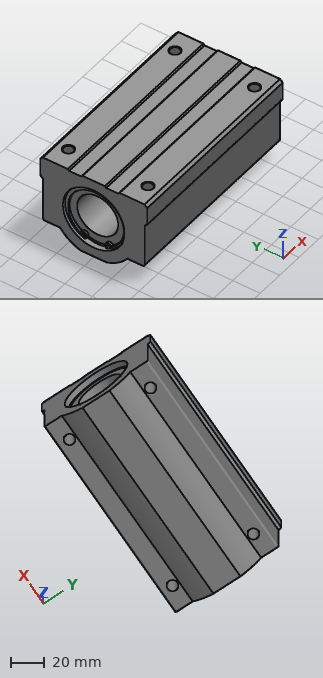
import cadquery as cq
import math


LENGTH = 140.0
WIDTH = 78.0
TOP_Z = 30.0
BOTTOM_Z = -29.5
SHOULDER_Z = -19.0
EDGE_CHAMFER = 2.0
RAIL_DEPTH = 15.0
FOOT_RADIUS = 1.4
BELLY_RADIUS = 31.1

GROOVE_INNER_Y = 8.1
GROOVE_OUTER_Y = 18.9
GROOVE_DEPTH = 1.0
GROOVE_BEVEL = 1.0

HOLE_DIAMETER = 7.0
HOLE_MOUTH_DIAMETER = 8.0
HOLE_SPACING_X = 110.0
HOLE_SPACING_Y = 58.0

BEARING_DIAMETER = 41.7
BEARING_BORE = 30.0
COUNTERBORE_DIAMETER = 45.0

RING_RECESS = 2.2
RING_THICKNESS = 1.8
RING_INNER_DIAMETER = 40.6
RING_EYE_OFFSET = 1.3
LUG_Y = 9.1
LUG_Z = -18.8
LUG_RADIUS = 2.5
LUG_HOLE_DIAMETER = 2.5

END_X = -LENGTH / 2
RING_X = END_X + RING_RECESS
COUNTERBORE_DEPTH = RING_RECESS + RING_THICKNESS
BEARING_X = END_X + COUNTERBORE_DEPTH
BEARING_LENGTH = -2 * BEARING_X


def cylinder_x(diameter, start_x, length, y=0.0, z=0.0):
    """Solid cylinder along +X."""
    return cq.Workplane("YZ", origin=(start_x, y, z)).circle(diameter / 2).extrude(length)


def housing_profile():
    """Cross-section in Y and Z: railed block with a round belly."""
    rail_y = WIDTH / 2
    wall_y = rail_y - EDGE_CHAMFER
    rail_z = TOP_Z - RAIL_DEPTH
    belly_start_y = math.sqrt(BELLY_RADIUS**2 - SHOULDER_Z**2)
    belly_end_y = math.sqrt(BELLY_RADIUS**2 - BOTTOM_Z**2)
    belly_mid_angle = (math.atan2(SHOULDER_Z, belly_start_y) + math.atan2(BOTTOM_Z, belly_end_y)) / 2
    belly_mid_y = BELLY_RADIUS * math.cos(belly_mid_angle)
    belly_mid_z = BELLY_RADIUS * math.sin(belly_mid_angle)
    return (
        cq.Workplane("YZ", origin=(END_X, 0, 0))
        .moveTo(-wall_y, TOP_Z)
        .lineTo(wall_y, TOP_Z)
        .lineTo(rail_y, TOP_Z - EDGE_CHAMFER)
        .lineTo(rail_y, rail_z)
        .lineTo(wall_y, rail_z - EDGE_CHAMFER)
        .lineTo(wall_y, SHOULDER_Z + FOOT_RADIUS)
        .radiusArc((wall_y - FOOT_RADIUS, SHOULDER_Z), FOOT_RADIUS)
        .lineTo(belly_start_y, SHOULDER_Z)
        .threePointArc((belly_mid_y, belly_mid_z), (belly_end_y, BOTTOM_Z))
        .lineTo(-belly_end_y, BOTTOM_Z)
        .threePointArc((-belly_mid_y, belly_mid_z), (-belly_start_y, SHOULDER_Z))
        .lineTo(-wall_y + FOOT_RADIUS, SHOULDER_Z)
        .radiusArc((-wall_y, SHOULDER_Z + FOOT_RADIUS), FOOT_RADIUS)
        .lineTo(-wall_y, rail_z - EDGE_CHAMFER)
        .lineTo(-rail_y, rail_z)
        .lineTo(-rail_y, TOP_Z - EDGE_CHAMFER)
        .close()
    )


def top_groove(side):
    """Bevel-sided groove along the mounting face, on the +Y (1) or -Y (-1) side."""
    floor_z = TOP_Z - GROOVE_DEPTH
    return (
        cq.Workplane("YZ", origin=(END_X, 0, 0))
        .polyline([
            (side * GROOVE_INNER_Y, TOP_Z),
            (side * (GROOVE_INNER_Y + GROOVE_BEVEL), floor_z),
            (side * (GROOVE_OUTER_Y - GROOVE_BEVEL), floor_z),
            (side * GROOVE_OUTER_Y, TOP_Z),
        ])
        .close()
        .extrude(LENGTH)
    )


def mounting_holes():
    """Four vertical through holes with countersunk mouths."""
    mouth_depth = (HOLE_MOUTH_DIAMETER - HOLE_DIAMETER) / 2
    top = cq.Workplane("XY", origin=(0, 0, TOP_Z)).rarray(HOLE_SPACING_X, HOLE_SPACING_Y, 2, 2)
    shafts = top.circle(HOLE_DIAMETER / 2).extrude(BOTTOM_Z - TOP_Z)
    mouths = top.circle(HOLE_MOUTH_DIAMETER / 2).extrude(-mouth_depth, taper=45)
    return shafts.union(mouths)


def make_housing():
    """Grooved block with mounting holes and a bearing bore counterbored at both ends."""
    body = housing_profile().extrude(LENGTH)
    for side in (1, -1):
        body = body.cut(top_groove(side))
    body = body.cut(mounting_holes())
    body = body.cut(cylinder_x(BEARING_DIAMETER, BEARING_X, BEARING_LENGTH))
    for start_x in (END_X, -BEARING_X):
        body = body.cut(cylinder_x(COUNTERBORE_DIAMETER, start_x, COUNTERBORE_DEPTH))
    return body


def make_bearing():
    """Plain sleeve between the two counterbores."""
    sleeve = cylinder_x(BEARING_DIAMETER, BEARING_X, BEARING_LENGTH)
    return sleeve.cut(cylinder_x(BEARING_BORE, BEARING_X, BEARING_LENGTH))


def make_retaining_ring():
    """Open ring that fits the counterbore, with an eccentric inner edge and drilled end lugs."""
    disc = cylinder_x(COUNTERBORE_DIAMETER, RING_X, RING_THICKNESS)
    ring = disc.cut(cylinder_x(RING_INNER_DIAMETER, RING_X, RING_THICKNESS, z=-RING_EYE_OFFSET))
    gap_reach = 2.0
    gap = (
        cq.Workplane("YZ", origin=(RING_X, 0, 0))
        .polyline([(0, 0), (-gap_reach * LUG_Y, gap_reach * LUG_Z), (gap_reach * LUG_Y, gap_reach * LUG_Z)])
        .close()
        .extrude(RING_THICKNESS)
    )
    ring = ring.cut(gap)
    for side in (1, -1):
        lug = cylinder_x(2 * LUG_RADIUS, RING_X, RING_THICKNESS, side * LUG_Y, LUG_Z)
        lug_hole = cylinder_x(LUG_HOLE_DIAMETER, RING_X, RING_THICKNESS, side * LUG_Y, LUG_Z)
        ring = ring.union(lug.intersect(disc)).cut(lug_hole)
    return ring


housing = make_housing().solids().val()
bearing = make_bearing().solids().val()
retaining_ring = make_retaining_ring().solids().val()

result = cq.Compound.makeCompound([housing, bearing, retaining_ring])